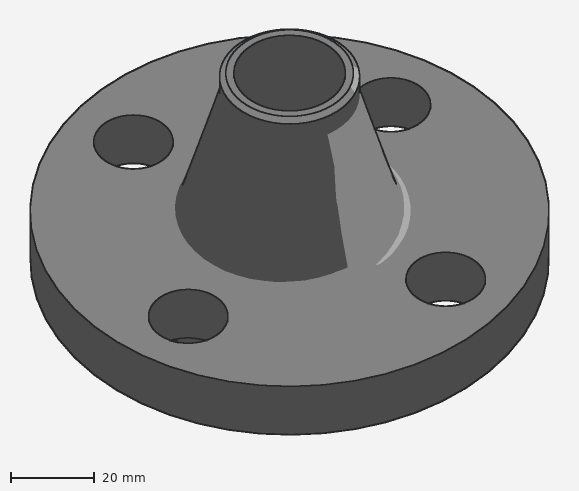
import cadquery as cq

flange_diameter = 123.9
flange_thickness = 15.7
face_diameter = 69.8
face_height = 6.5

total_height = 66.8
hub_base_diameter = 54.0
hub_fillet = 3.0
weld_end_diameter = 33.5
weld_end_length = 7.0
weld_bevel_width = 1.5
weld_bevel_height = 1.1
bore_diameter = 26.6

bolt_count = 4
bolt_circle_diameter = 88.9
bolt_hole_diameter = 19.0

flange_top = face_height + flange_thickness
weld_end_start = total_height - weld_end_length


def revolved_body():
    """Raised face, plate, hub and weld end as one solid of revolution about Z."""
    weld_end_radius = weld_end_diameter / 2
    return (
        cq.Workplane("XZ")
        .moveTo(0, 0)
        .lineTo(face_diameter / 2, 0)
        .lineTo(face_diameter / 2, face_height)
        .lineTo(flange_diameter / 2, face_height)
        .lineTo(flange_diameter / 2, flange_top)
        .lineTo(hub_base_diameter / 2, flange_top)
        .lineTo(weld_end_radius, weld_end_start)
        .lineTo(weld_end_radius, total_height - weld_bevel_height)
        .lineTo(weld_end_radius - weld_bevel_width, total_height)
        .lineTo(0, total_height)
        .close()
        .revolve(360, (0, 0, 0), (0, 1, 0))
    )


def fillet_hub_root(body):
    """Round the corner where the hub meets the top of the plate."""
    margin = 0.1
    reach = hub_base_diameter / 2 + margin
    root_edge = cq.selectors.BoxSelector(
        (-reach, -reach, flange_top - margin),
        (reach, reach, flange_top + margin),
        boundingbox=True,
    )
    return body.edges(root_edge).fillet(hub_fillet)


def bore():
    return cq.Workplane("XY").circle(bore_diameter / 2).extrude(total_height)


def bolt_holes():
    return (
        cq.Workplane("XY")
        .polarArray(bolt_circle_diameter / 2, 0, 360, bolt_count)
        .circle(bolt_hole_diameter / 2)
        .extrude(flange_top)
    )


result = fillet_hub_root(revolved_body()).cut(bore()).cut(bolt_holes())